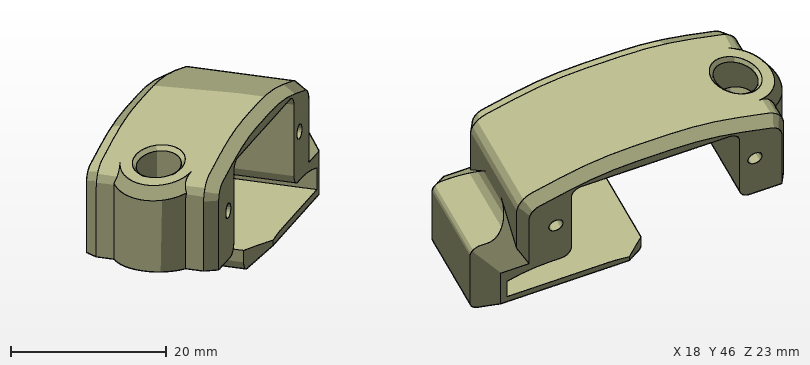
import cadquery as cq
import math


width = 18.0
height = 23.0
length = 46.0

body_half = 18.75
leg_bottom = 8.0
crown_flat_half = 2.5
shoulder_angle = 15.0
shoulder_start = 12.45
body_corner_radius = 3.1
side_chamfer_depth = 1.0
side_chamfer_width = 1.7
window_half = 11.8
window_top = 20.7
window_radius = 1.45
leg_corner_radius = 1.45

boss_radius = 6.0
boss_front = -21.25
boss_y = boss_front + boss_radius
boss_chamfer_top = 1.45
boss_chamfer_side = 1.0
bore_diameter = 5.8
bore_chamfer = 0.5
seat_height = 15.3
drain_radius = 1.7

pin_diameter = 2.0
pin_y = 14.0
pin_z = 14.75

clip_back = boss_front + length
clip_front = 0.7
clip_top = 12.0
clip_chamfer = 3.0
clip_corner_radius = 1.45
clip_fillet = 3.5
sharp_corner_radius = 0.01
plate_top = 4.0
slot_back = 20.85
lip_run = 6.2
lip_radius = 20.0
tip_angle = 14.0
shortest_slope = 0.005

shoulder_tan = math.tan(math.radians(shoulder_angle))
arch_radius = (shoulder_start - crown_flat_half) / math.sin(math.radians(shoulder_angle))
slot_angle = math.degrees(math.asin(lip_run / lip_radius))
shoulder_z = height - arch_radius * (1 - math.cos(math.radians(shoulder_angle)))


def shoulder_height(y):
    """Height of the sloping shoulder plane at a distance |y| from the middle."""
    return shoulder_z - (abs(y) - shoulder_start) * shoulder_tan


def arch_point(angle_degrees, side):
    """Point on the arch, measured by angle from the end of the flat crown."""
    angle = math.radians(angle_degrees)
    y = crown_flat_half + arch_radius * math.sin(angle)
    return side * y, height - arch_radius * (1 - math.cos(angle))


def body_core(thickness):
    """Bridge without side chamfers, from X = 0 to the thickness, carried down to Z = 0."""
    eave_z = shoulder_height(body_half)
    half_angle = shoulder_angle / 2
    core = (
        cq.Workplane("YZ")
        .moveTo(-body_half, 0)
        .lineTo(-body_half, eave_z)
        .lineTo(*arch_point(shoulder_angle, -1))
        .threePointArc(arch_point(half_angle, -1), (-crown_flat_half, height))
        .lineTo(crown_flat_half, height)
        .threePointArc(arch_point(half_angle, 1), arch_point(shoulder_angle, 1))
        .lineTo(body_half, eave_z)
        .lineTo(body_half, 0)
        .close()
        .extrude(thickness)
    )
    for end_y in (-body_half, body_half):
        corner = cq.selectors.NearestToPointSelector((thickness / 2, end_y, eave_z))
        core = core.edges("|X").edges(corner).fillet(body_corner_radius)
    return core


def make_body():
    """Solid bridge whose side edges are chamfered; the legs end square at the bottom."""
    core_half = width / 2 - side_chamfer_width
    taper = math.degrees(math.atan2(side_chamfer_depth, side_chamfer_width))
    half = body_core(core_half)
    half = half.faces(">X").wires().toPending().workplane().extrude(side_chamfer_width, taper=taper)
    body = half.union(half.mirror("YZ"))
    below = cq.Workplane("XY").box(2 * width, 2 * length, leg_bottom, centered=(True, True, False))
    return body.cut(below)


def make_boss():
    """Upright cylinder cut by the shoulder plane, with its rim chamfered."""
    boss = cq.Workplane("XY").workplane(offset=leg_bottom).center(0, boss_y)
    boss = boss.circle(boss_radius).extrude(height)
    above = (
        cq.Workplane("YZ")
        .polyline([
            (-length, shoulder_height(length)),
            (0, shoulder_height(0)),
            (0, 2 * height),
            (-length, 2 * height),
        ])
        .close()
        .extrude(width, both=True)
    )
    boss = boss.cut(above)
    boss = boss.faces(">Z").edges().chamfer(boss_chamfer_top, boss_chamfer_side)
    behind = cq.Workplane("XY").box(2 * width, length, 2 * height, centered=(True, False, False))
    return boss.cut(behind.translate((0, -shoulder_start, 0)))


def clip_section(inset, radius):
    """Rounded rectangular sketch of the clip side profile, shrunk by the inset on every side."""
    sketch = cq.Sketch().rect(clip_back - clip_front - 2 * inset, clip_top - 2 * inset)
    return sketch.vertices().fillet(radius)


def make_clip():
    """Clip block: rounded across the middle, narrowing to sharp-cornered side faces."""
    core_half = width / 2 - clip_chamfer
    inner = clip_section(0, clip_corner_radius)
    outer = clip_section(clip_chamfer, sharp_corner_radius)
    centre = cq.Workplane("YZ").center((clip_back + clip_front) / 2, clip_top / 2)
    core = centre.placeSketch(inner).extrude(core_half, both=True)
    side_section = outer.moved(cq.Location(cq.Vector(0, 0, clip_chamfer)))
    flank = centre.workplane(offset=core_half).placeSketch(inner, side_section).loft(ruled=True)
    return core.union(flank).union(flank.mirror("YZ"))


def make_clip_fillet():
    """Concave fillet from the clip top to the back of the bridge, hipped at both sides."""
    centre_y = body_half + clip_fillet
    centre_z = clip_top + clip_fillet
    reach = clip_fillet * math.sqrt(0.5)
    web = (
        cq.Workplane("YZ")
        .moveTo(body_half, clip_top)
        .lineTo(centre_y, clip_top)
        .threePointArc((centre_y - reach, centre_z - reach), (body_half, centre_z))
        .close()
        .extrude(width / 2, both=True)
    )
    base_half = width / 2 - clip_chamfer
    hip = (
        cq.Workplane("XZ")
        .polyline([(-base_half, clip_top), (base_half, clip_top), (0, clip_top + base_half)])
        .close()
        .extrude(length, both=True)
    )
    return web.intersect(hip)


def lip_curve(start_y, start_z, direction, arc_angle):
    """Open curve falling away from a level line: an arc, then a tangent slope to the end of the run."""
    angle = math.radians(arc_angle)

    def arc_at(turn):
        return start_y + direction * lip_radius * math.sin(turn), start_z - lip_radius * (1 - math.cos(turn))

    curve = cq.Workplane("YZ").moveTo(start_y, start_z).threePointArc(arc_at(angle / 2), arc_at(angle))
    slope_run = lip_run - lip_radius * math.sin(angle)
    if slope_run > shortest_slope:
        arc_end_z = arc_at(angle)[1]
        curve = curve.lineTo(start_y + direction * lip_run, arc_end_z - slope_run * math.tan(angle))
    return curve


def make_opening():
    """Window between the legs joined to the slot of the clip."""
    window = (
        cq.Workplane("YZ")
        .center(0, (window_top + plate_top) / 2)
        .rect(2 * window_half, window_top - plate_top)
        .extrude(width, both=True)
        .edges("|X and >Z")
        .fillet(window_radius)
    )
    slot = (
        lip_curve(slot_back - lip_run, leg_bottom, 1, slot_angle)
        .lineTo(slot_back, plate_top)
        .lineTo(0, plate_top)
        .lineTo(0, leg_bottom)
        .close()
        .extrude(width, both=True)
    )
    tip_slope = (
        lip_curve(clip_front + lip_run, plate_top, -1, tip_angle)
        .lineTo(clip_front, plate_top)
        .close()
        .extrude(width, both=True)
    )
    return window.union(slot).union(tip_slope)


def make_bore():
    """Bore with a conical seat, leading to a teardrop hole pointing toward -X."""
    bore_radius = bore_diameter / 2
    drain_z = seat_height - (bore_radius - drain_radius)
    profile = [
        (0, drain_z),
        (drain_radius, drain_z),
        (bore_radius, seat_height),
        (bore_radius, height),
        (0, height),
    ]
    bore = cq.Workplane("XZ").polyline(profile).close().revolve(360, (0, 0, 0), (0, 1, 0))
    tangent = drain_radius * math.sqrt(0.5)
    drain = (
        cq.Workplane("XY")
        .moveTo(-2 * tangent, 0)
        .lineTo(-tangent, -tangent)
        .threePointArc((drain_radius, 0), (-tangent, tangent))
        .close()
        .extrude(seat_height)
    )
    return bore.union(drain).translate((0, boss_y, 0))


def make_pin_holes():
    """Two cross holes through both sides of the legs."""
    points = [(-pin_y, pin_z), (pin_y, pin_z)]
    return cq.Workplane("YZ").pushPoints(points).circle(pin_diameter / 2).extrude(width, both=True)


part = make_body().union(make_boss()).union(make_clip()).union(make_clip_fillet())
part = part.cut(make_opening())
for side in (-1, 1):
    corner = cq.selectors.NearestToPointSelector((0, side * window_half, leg_bottom))
    part = part.edges("|X").edges(corner).fillet(leg_corner_radius)
part = part.cut(make_bore())
rim = cq.selectors.NearestToPointSelector((0, boss_y, shoulder_height(boss_y)))
part = part.edges(rim).chamfer(bore_chamfer)
result = part.cut(make_pin_holes())